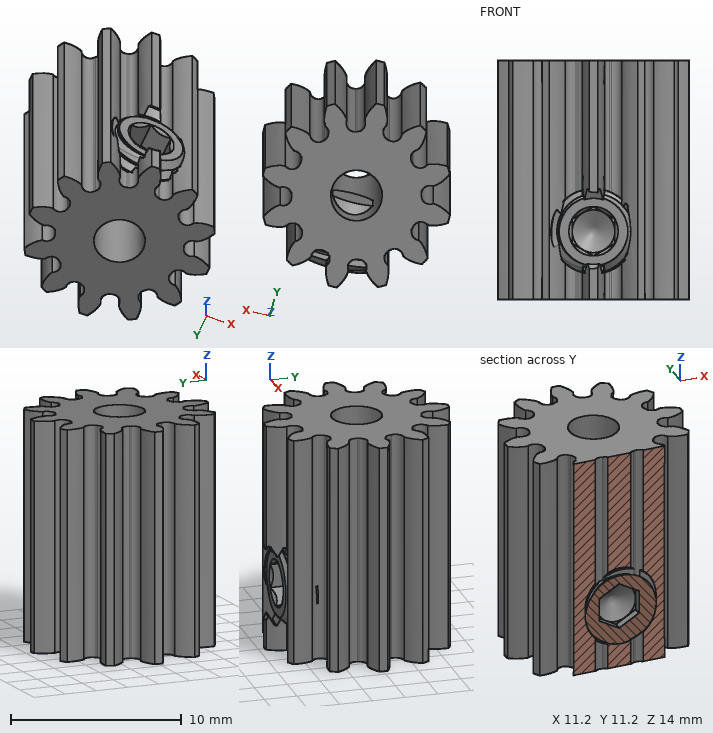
import cadquery as cq
import math

MODULE = 0.8
TEETH = 12
PRESSURE_ANGLE = math.radians(20)
LENGTH = 14.0
BORE_D = 3.0
PITCH_R = MODULE * TEETH / 2
TIP_R = PITCH_R + MODULE
ROOT_R = PITCH_R - 1.25 * MODULE
BASE_R = PITCH_R * math.cos(PRESSURE_ANGLE)
TOOTH_STEP = 2 * math.pi / TEETH
ROOT_LAND = 0.1
FLANK_POINTS = 7

SCREW_Z = 4.0
MAJOR_R = 2.5
THREAD_PITCH = 0.8
CREST_WIDTH = THREAD_PITCH / 8
FLANK_HALF_ANGLE = math.radians(30)
RIDGE_EMBED = 0.05

MOUTH_MINOR_R = 1.93
MOUTH_START = ROOT_R * math.cos(TOOTH_STEP / 2)
MOUTH_END = TIP_R + THREAD_PITCH
MOUTH_CREST = 5.43

SCREW_MINOR_R = 2.01
SCREW_LENGTH = 4.0
SCREW_OUTER = 4.9
SCREW_INNER = SCREW_OUTER - SCREW_LENGTH
SCREW_CREST = 4.92
POINT_R = 1.5
POINT_CHAMFER = MAJOR_R - POINT_R
HEAD_CHAMFER = MAJOR_R - SCREW_MINOR_R

HEX_FLATS = 2.5
HEX_CORNERS = HEX_FLATS / math.cos(math.radians(30))
HEX_DEPTH = 1.6
SOCKET_FLOOR = SCREW_OUTER - HEX_DEPTH
DRILL_TIP_HALF_ANGLE = math.radians(60)
DRILL_TIP_DEPTH = HEX_FLATS / 2 / math.tan(DRILL_TIP_HALF_ANGLE)
COUNTERSINK_DEPTH = (HEX_CORNERS - HEX_FLATS) / 2


def involute(angle):
    return math.tan(angle) - angle


def polar(radius, angle):
    return cq.Vector(radius * math.cos(angle), radius * math.sin(angle))


def tooth_half_angle(radius):
    """Half the angle that a tooth spans at a radius on its involute flank."""
    flank_angle = math.acos(min(1.0, BASE_R / radius))
    return math.pi / (2 * TEETH) + involute(PRESSURE_ANGLE) - involute(flank_angle)


def flank(tooth_angle, side):
    """Points of one flank, from the base circle to the tip."""
    step = (TIP_R - BASE_R) / (FLANK_POINTS - 1)
    radii = [BASE_R + i * step for i in range(FLANK_POINTS)]
    return [polar(r, tooth_angle + side * tooth_half_angle(r)) for r in radii]


def root_fillet(gap_angle, side):
    """Middle and root end of the arc from a flank's foot to its tangent point on the root circle."""
    foot = polar(BASE_R, gap_angle + side * (TOOTH_STEP / 2 - tooth_half_angle(BASE_R)))
    root_angle = gap_angle + side * ROOT_LAND / 2 / ROOT_R
    root_end = polar(ROOT_R, root_angle)
    reach = foot.dot(polar(1, root_angle))
    radius = (foot - root_end).Length ** 2 / (2 * (reach - ROOT_R))
    centre = polar(ROOT_R + radius, root_angle)
    outward = ((foot + root_end) * 0.5 - centre).normalized()
    return centre + outward * radius, root_end


def make_gear_blank():
    outline = cq.Workplane("XY").moveTo(*flank(0, -1)[0].toTuple()[:2])
    for i in range(TEETH):
        tooth_angle = i * TOOTH_STEP
        gap_angle = tooth_angle + TOOTH_STEP / 2
        rising = flank(tooth_angle, -1)
        falling = flank(tooth_angle, 1)[::-1]
        next_foot = flank(tooth_angle + TOOTH_STEP, -1)[0]
        fillet_in, root_start = root_fillet(gap_angle, -1)
        fillet_out, root_end = root_fillet(gap_angle, 1)
        outline = (
            outline.spline(rising[1:], includeCurrent=True)
            .threePointArc(polar(TIP_R, tooth_angle), falling[0])
            .spline(falling[1:], includeCurrent=True)
            .threePointArc(fillet_in, root_start)
            .threePointArc(polar(ROOT_R, gap_angle), root_end)
            .threePointArc(fillet_out, next_foot)
        )
    blank = outline.close().extrude(LENGTH)
    bore = cq.Workplane("XY").circle(BORE_D / 2).extrude(LENGTH)
    return blank.cut(bore)


def aim_outward(shape):
    """Turn a shape built along +Z from the origin to point along -Y at the screw height."""
    return shape.rotate((0, 0, 0), (1, 0, 0), 90).translate((0, 0, SCREW_Z))


def make_ridge(corners, height):
    """Solid that carries a section, given as (radius, height) corners, up a right-hand helix."""
    helices = [cq.Wire.makeHelix(THREAD_PITCH, height, r, center=cq.Vector(0, 0, z)) for r, z in corners]
    sides = [cq.Face.makeRuledSurface(helices[i - 1], helices[i]) for i in range(len(helices))]
    ends = []
    for at in (0, 1):
        loop = [helix.positionAt(at) for helix in helices]
        ends.append(cq.Face.makeFromWires(cq.Wire.makePolygon(loop, close=True)))
    return cq.Workplane(cq.Solid.makeSolid(cq.Shell.makeShell(sides + ends)))


def make_thread(minor_r, start, end, crest):
    """Right-hand threaded rod along +Z; a crest passes through height `crest` on its +Y side."""
    side_crest = crest - THREAD_PITCH / 4
    turns_below = math.ceil((side_crest - start) / THREAD_PITCH) + 1
    helix_start = side_crest - turns_below * THREAD_PITCH
    height = end - helix_start + THREAD_PITCH
    crest_half = CREST_WIDTH / 2
    core_r = minor_r - RIDGE_EMBED
    foot_half = crest_half + (MAJOR_R - core_r) * math.tan(FLANK_HALF_ANGLE)
    corners = [(core_r, -foot_half), (MAJOR_R, -crest_half), (MAJOR_R, crest_half), (core_r, foot_half)]
    ridge = make_ridge(corners, height).translate((0, 0, helix_start))
    base = cq.Workplane("XY", origin=(0, 0, start))
    bounds = base.circle(MAJOR_R + THREAD_PITCH).extrude(end - start)
    core = base.circle(minor_r).extrude(end - start)
    return core.union(ridge.intersect(bounds))


def make_socket():
    hexagon = (
        cq.Workplane("XY", origin=(0, 0, SOCKET_FLOOR))
        .polygon(6, HEX_CORNERS)
        .extrude(HEX_DEPTH)
        .rotate((0, 0, 0), (0, 0, 1), 90)
    )
    drill_tip = (
        cq.Workplane("XZ")
        .moveTo(0, SOCKET_FLOOR - DRILL_TIP_DEPTH)
        .lineTo(HEX_FLATS / 2, SOCKET_FLOOR)
        .lineTo(0, SOCKET_FLOOR)
        .close()
        .revolve(360, (0, 0, 0), (0, 1, 0))
    )
    countersink = (
        cq.Workplane("XY", origin=(0, 0, SCREW_OUTER))
        .circle(HEX_CORNERS / 2)
        .workplane(offset=-COUNTERSINK_DEPTH)
        .circle(HEX_FLATS / 2)
        .loft()
    )
    return hexagon.union(drill_tip).union(countersink)


def make_screw_body():
    """Threaded screw without its socket, chamfered at both ends."""
    envelope = (
        cq.Workplane("XY", origin=(0, 0, SCREW_INNER))
        .circle(MAJOR_R)
        .extrude(SCREW_LENGTH)
        .faces(">Z")
        .chamfer(HEAD_CHAMFER)
        .faces("<Z")
        .chamfer(POINT_CHAMFER)
    )
    thread = make_thread(SCREW_MINOR_R, SCREW_INNER, SCREW_OUTER, SCREW_CREST)
    return thread.intersect(envelope)


def make_set_screw(screw_body):
    return aim_outward(screw_body.cut(make_socket()))


def make_gear(screw_body):
    """Gear with a seat that fits the screw and a tapped mouth turned slightly from the screw's thread."""
    mouth = make_thread(MOUTH_MINOR_R, MOUTH_START, MOUTH_END, MOUTH_CREST)
    return make_gear_blank().cut(aim_outward(screw_body)).cut(aim_outward(mouth))


screw_body = make_screw_body()
gear = make_gear(screw_body)
set_screw = make_set_screw(screw_body)
result = cq.Compound.makeCompound([*gear.solids().vals(), *set_screw.solids().vals()])